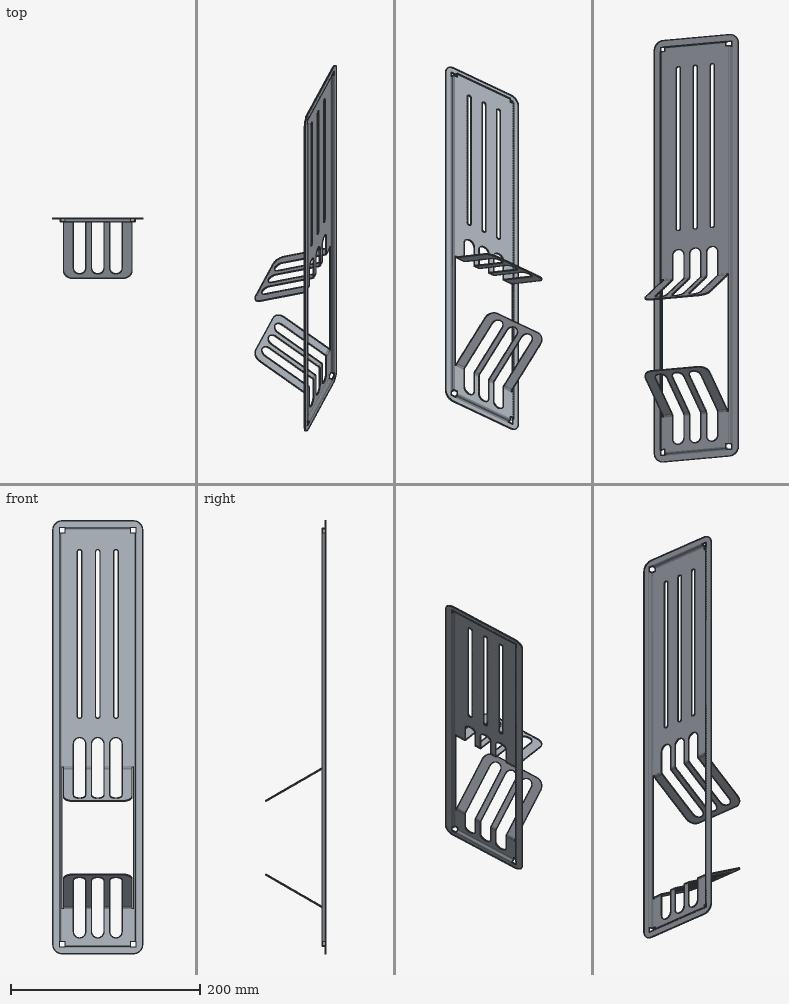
import cadquery as cq
import math

HEIGHT = 458.0
WIDTH = 95.5
DEPTH = 64.0
SHEET = 1.15
CORNER_RADIUS = 10.0

RIM = 7.5
STEP = 3.0
STEP_BEND_RADIUS = 0.25
NOTCH = 5.5

FLAP_MIDDLE = -106.5
FLAP_BEND = 74.5
FLAP_WIDTH = 73.0
FLAP_ANGLE = 30.0
FLAP_CORNER_RADIUS = 10.0
FLAP_EDGE = 5.5
BEND_RADIUS = 1.5
WINDOW_WIDTH = 75.0

SLOT_PITCH = 19.2
SLOT_COUNT = 3
LONG_SLOT_WIDTH = 4.5
LONG_SLOT_TOP = 198.5
LONG_SLOT_BOTTOM = 20.0
FLAP_SLOT_WIDTH = 13.0
FLAP_SLOT_END = 106.0

PANEL_FRONT = -(SHEET + STEP)
PANEL_BACK = PANEL_FRONT + SHEET
BEND_CENTRE_Y = PANEL_FRONT - BEND_RADIUS
BEND_Z = FLAP_MIDDLE + FLAP_BEND
WALL_RUN = 2 * STEP_BEND_RADIUS + SHEET
RAISED_WIDTH = WIDTH - 2 * RIM
RAISED_HEIGHT = HEIGHT - 2 * RIM
SLOT_CENTRES = [(i - (SLOT_COUNT - 1) / 2) * SLOT_PITCH for i in range(SLOT_COUNT)]


def upright_box(width, height, front, back):
    """Box centred in X and Z between two Y positions."""
    return cq.Workplane("XY").box(width, back - front, height).translate((0, (front + back) / 2, 0))


def slot_cutter(x, bottom, top, width):
    """Upright round-ended slot that runs through the panel along Y."""
    return (
        cq.Workplane("XZ", origin=(x, 0, (bottom + top) / 2))
        .slot2D(top - bottom, width, 90)
        .extrude(-2 * PANEL_FRONT)
    )


def rim():
    plate = upright_box(WIDTH, HEIGHT, -SHEET, 0).edges("|Y").fillet(CORNER_RADIUS)
    return plate.cut(upright_box(RAISED_WIDTH, RAISED_HEIGHT, -SHEET, 0))


def quarter_middle(centre, radius, towards_u, towards_y):
    """Midpoint of a quarter arc that bulges diagonally from its centre."""
    reach = radius * math.sqrt(0.5)
    return (centre[0] + towards_u * reach, centre[1] + towards_y * reach)


def step_wall(rim_edge, length):
    """Wall on the +X side, folded from the rim to the panel with two equal bends."""
    inside = STEP_BEND_RADIUS
    outside = inside + SHEET
    rim_bend = (rim_edge, -outside)
    panel_bend = (rim_edge - WALL_RUN, PANEL_BACK + inside)
    return (
        cq.Workplane("XY", origin=(0, 0, -length / 2))
        .moveTo(rim_edge, 0)
        .threePointArc(quarter_middle(rim_bend, outside, -1, 1), (rim_edge - outside, -outside))
        .lineTo(rim_edge - outside, panel_bend[1])
        .threePointArc(quarter_middle(panel_bend, inside, 1, -1), (panel_bend[0], PANEL_BACK))
        .lineTo(panel_bend[0], PANEL_FRONT)
        .threePointArc(quarter_middle(panel_bend, outside, 1, -1), (rim_edge - inside, panel_bend[1]))
        .lineTo(rim_edge - inside, -outside)
        .threePointArc(quarter_middle(rim_bend, inside, -1, 1), (rim_edge, -SHEET))
        .close()
        .extrude(length)
    )


def tray():
    """Panel with a folded wall along each of its four sides."""
    body = upright_box(RAISED_WIDTH - 2 * WALL_RUN, RAISED_HEIGHT - 2 * WALL_RUN, PANEL_FRONT, PANEL_BACK)
    side_wall = step_wall(RAISED_WIDTH / 2, RAISED_HEIGHT - 2 * NOTCH)
    end_wall = step_wall(RAISED_HEIGHT / 2, RAISED_WIDTH - 2 * NOTCH)
    for wall, angle in ((side_wall, 0), (end_wall, 90), (side_wall, 180), (end_wall, 270)):
        body = body.union(wall.rotate((0, 0, 0), (0, 1, 0), angle))
    return body


def notches():
    offset_x = (RAISED_WIDTH - NOTCH) / 2
    offset_z = (RAISED_HEIGHT - NOTCH) / 2
    return (
        cq.Workplane("XZ")
        .pushPoints([(sx * offset_x, sz * offset_z) for sx in (-1, 1) for sz in (-1, 1)])
        .rect(NOTCH, NOTCH)
        .extrude(-2 * PANEL_FRONT)
    )


def bend_point(radius, turn):
    """Point in Y and Z on the upper fold after turning by an angle in degrees."""
    angle = math.radians(turn)
    return (BEND_CENTRE_Y + radius * math.cos(angle), BEND_Z - radius * math.sin(angle))


def along_flap(start, distance):
    """Point in Y and Z reached by moving down the slope of the upper flap."""
    slope = math.radians(FLAP_ANGLE)
    return (start[0] - distance * math.cos(slope), start[1] - distance * math.sin(slope))


def upper_flap():
    """Slotted flap that folds out of the panel and slopes down and forwards."""
    slope = math.radians(FLAP_ANGLE)
    turn = 90 - FLAP_ANGLE
    outer_radius = BEND_RADIUS + SHEET
    top_start = bend_point(BEND_RADIUS, turn)
    under_start = bend_point(outer_radius, turn)
    length = (top_start[0] + DEPTH) / math.cos(slope)
    tip = along_flap(top_start, length)

    flap = (
        cq.Workplane("YZ")
        .moveTo(*bend_point(BEND_RADIUS, 0))
        .threePointArc(bend_point(BEND_RADIUS, turn / 2), top_start)
        .lineTo(*tip)
        .lineTo(*along_flap(under_start, length))
        .lineTo(*under_start)
        .threePointArc(bend_point(outer_radius, turn / 2), bend_point(outer_radius, 0))
        .close()
        .extrude(FLAP_WIDTH / 2, both=True)
    )

    normal = (0, -math.sin(slope), math.cos(slope))
    frame = cq.Plane(origin=(0, *tip), xDir=(1, 0, 0), normal=normal)
    outline_length = length + DEPTH
    outline = (
        cq.Workplane(frame)
        .center(0, outline_length / 2)
        .rect(FLAP_WIDTH, outline_length)
        .extrude(DEPTH, both=True)
        .edges(cq.selectors.ParallelDirSelector(cq.Vector(*normal)))
        .fillet(FLAP_CORNER_RADIUS)
    )
    slot_cutters = (
        cq.Workplane(frame)
        .pushPoints([(x, FLAP_EDGE + outline_length / 2) for x in SLOT_CENTRES])
        .slot2D(outline_length, FLAP_SLOT_WIDTH, 90)
        .extrude(DEPTH, both=True)
    )
    return flap.intersect(outline).cut(slot_cutters)


def window():
    return upright_box(WINDOW_WIDTH, 2 * FLAP_BEND, PANEL_FRONT, PANEL_BACK).translate((0, 0, FLAP_MIDDLE))


def slots():
    """Cutters for the long slots and for the panel end of the flap slots."""
    cutters = cq.Workplane("XY")
    flap_bottom = FLAP_MIDDLE - FLAP_SLOT_END
    flap_top = FLAP_MIDDLE + FLAP_SLOT_END
    for x in SLOT_CENTRES:
        cutters = cutters.add(slot_cutter(x, LONG_SLOT_BOTTOM, LONG_SLOT_TOP, LONG_SLOT_WIDTH))
        cutters = cutters.add(slot_cutter(x, flap_bottom, flap_top, FLAP_SLOT_WIDTH))
    return cutters.combine()


plate = rim().union(tray()).cut(notches()).cut(window()).cut(slots())
upper = upper_flap()
lower = upper.mirror("XY", (0, 0, FLAP_MIDDLE))
result = plate.union(upper).union(lower)